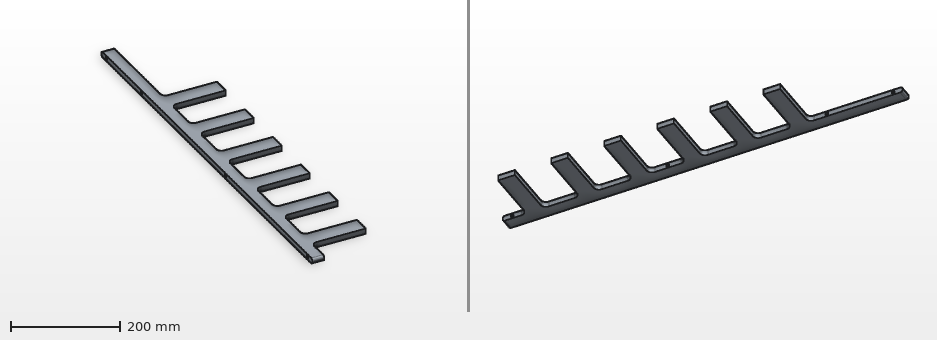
import cadquery as cq

length = 830.0
depth = 137.0
thickness = 12.0

rail_width = 25.0
end_radius = 5.4

finger_count = 6
finger_width = 35.0
first_finger_x = 212.5
last_finger_x = 763.0
root_fillet = 11.0
finger_pitch = (last_finger_x - first_finger_x) / (finger_count - 1)
finger_centers = [first_finger_x + i * finger_pitch for i in range(finger_count)]

hole_diameter = 6.0
end_hole_inset = 20.0
hole_centers = [
    end_hole_inset,
    first_finger_x - finger_pitch / 2,
    (finger_centers[2] + finger_centers[3]) / 2,
    length - end_hole_inset,
]


def make_rail():
    """Flat bar with rounded top and bottom edges at both ends."""
    bar = cq.Workplane("XY").box(length, rail_width, thickness, centered=False)
    return bar.edges("|Y").fillet(end_radius)


def make_finger(x):
    """Straight finger running from the rail's -Y face to the full depth."""
    return (
        cq.Workplane("XY")
        .center(x, depth / 2)
        .rect(finger_width, depth)
        .extrude(thickness)
    )


def make_cross_hole(x):
    """Cutter for one round hole through the rail at mid thickness."""
    return (
        cq.Workplane("XZ")
        .center(x, thickness / 2)
        .circle(hole_diameter / 2)
        .extrude(-rail_width)
    )


result = make_rail()
for center in finger_centers:
    result = result.union(make_finger(center))

margin = 1.0
root_edges = cq.selectors.BoxSelector(
    (end_radius, rail_width - margin, -margin),
    (length - end_radius, rail_width + margin, thickness + margin),
)
result = result.edges("|Z").edges(root_edges).fillet(root_fillet)

for center in hole_centers:
    result = result.cut(make_cross_hole(center))